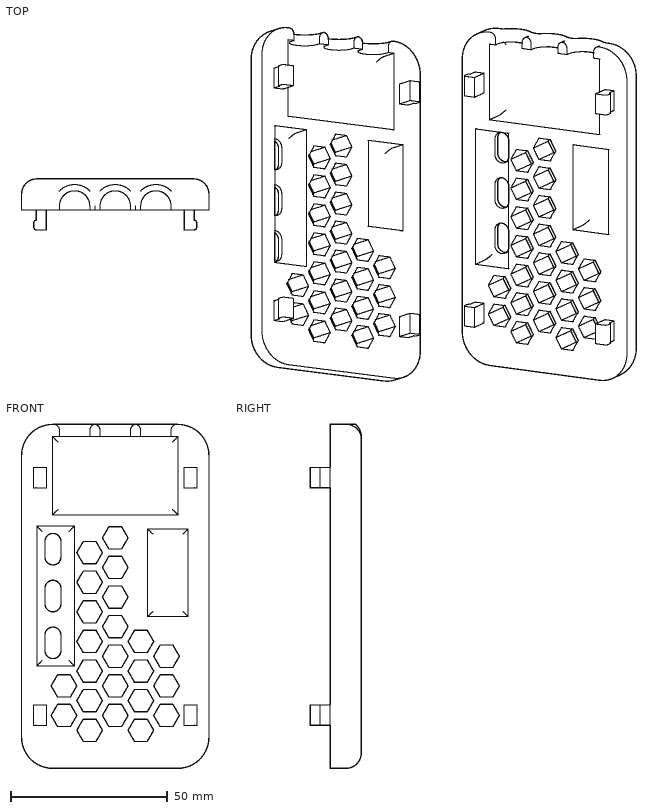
import cadquery as cq
import math

width = 60.0
length = 110.0
thickness = 10.0
corner_radius = 10.0
back_round = 5.0
top = length / 2

notch_pitch = 13.0
notch_radius = 4.8
notch_axis_depth = 1.3
rim_round = 2.0
rim_radius = notch_radius + rim_round
notch_centers = [-notch_pitch, 0.0, notch_pitch]

pocket_depth = 8.0
pocket_round = 2.0
top_wall = 2 * rim_round
screen_pocket = (-20.0, 20.0, top_wall, 28.9)
left_pocket = (-25.1, -13.1, 32.6, 77.2)
right_pocket = (10.3, 23.3, 33.4, 61.5)

slot_x = -19.9
slot_width = 5.1
slot_length = 10.0
slot_pitch = 15.0
slot_middle = (left_pocket[2] + left_pocket[3]) / 2

hex_across_flats = 7.0
hex_pitch = 9.5
hex_column_pitch = hex_pitch * math.cos(math.radians(30))
hex_even_bottom = 93.1
hex_odd_bottom = hex_even_bottom + hex_pitch / 2
hex_columns = [
    (-2, hex_even_bottom, 2),
    (-1, hex_odd_bottom, 7),
    (0, hex_even_bottom, 7),
    (1, hex_odd_bottom, 4),
    (2, hex_even_bottom, 3),
]

tab_inner_x = 22.0
tab_stem = 3.3
tab_lip = 0.8
tab_lip_round = 1.0
tab_height = 6.4
tab_lip_start = 3.2
tab_width = 6.5
tab_depths = [17.0, 93.0]


def front_plane():
    """Sketch plane on the flat face, facing -Y, with local x = X and local y = Z."""
    return cq.Workplane("XZ")


def make_plate():
    plate = front_plane().rect(width, length).extrude(-thickness)
    plate = plate.edges("|Y").fillet(corner_radius)
    return plate.faces(">Y").edges().fillet(back_round)


def brow_section(offset):
    """YZ section of the brow: a back round that starts on the notch rim instead of the top face."""
    start = notch_axis_depth + math.sqrt(rim_radius**2 - offset**2)
    center_y = thickness - back_round
    drop = math.sqrt(back_round**2 - (start - center_y) ** 2)
    center_z = top - drop
    start_angle = math.atan2(drop, start - center_y)
    middle = (
        center_y + back_round * math.cos(start_angle / 2),
        center_z + back_round * math.sin(start_angle / 2),
    )
    base_y = notch_axis_depth
    base_z = top - 2 * back_round
    return (
        cq.Workplane("YZ", origin=(offset, 0, 0))
        .moveTo(base_y, base_z)
        .lineTo(base_y, top)
        .lineTo(start, top)
        .threePointArc(middle, (thickness, center_z))
        .lineTo(thickness, base_z)
        .close()
        .wires()
        .val()
    )


def make_brow():
    """Raised back edge over one notch, ending where the rim meets the plain back round."""
    rise = thickness - back_round - notch_axis_depth
    reach = math.sqrt(rim_radius**2 - rise**2)
    half_steps = 5
    sections = [brow_section(reach * i / half_steps) for i in range(-half_steps, half_steps + 1)]
    return cq.Workplane(cq.Solid.makeLoft(sections))


def notch_half_profile():
    """Half width of a notch, flaring out to the top face along the rounded rim."""
    bore_bottom = top - top_wall
    diagonal = rim_round * math.sqrt(0.5)
    return (
        front_plane()
        .moveTo(0, bore_bottom)
        .lineTo(notch_radius, bore_bottom)
        .lineTo(notch_radius, top - rim_round)
        .threePointArc((rim_radius - diagonal, top - rim_round + diagonal), (rim_radius, top))
        .lineTo(rim_radius, top + rim_round)
        .lineTo(0, top + rim_round)
        .close()
    )


def make_notch_cutter():
    """Arched notch along Z through the top edge."""
    arch = notch_half_profile().revolve(360, (0, 0, 0), (0, 1, 0)).translate((0, notch_axis_depth, 0))
    behind_face = cq.Workplane("XY").box(width, thickness, 2 * length, centered=(True, False, True))
    side = notch_half_profile().extrude(-notch_axis_depth)
    return arch.intersect(behind_face).union(side).union(side.mirror("YZ"))


def make_pocket(left, right, upper, lower):
    pocket = (
        front_plane()
        .center((left + right) / 2, top - (upper + lower) / 2)
        .rect(right - left, lower - upper)
        .extrude(-pocket_depth)
    )
    return pocket.faces(">Y").edges().fillet(pocket_round)


def make_slots():
    centers = [(slot_x, top - slot_middle + i * slot_pitch) for i in (-1, 0, 1)]
    return front_plane().pushPoints(centers).slot2D(slot_length, slot_width, 90).extrude(-thickness)


def make_honeycomb():
    centers = [
        (column * hex_column_pitch, top - lowest + row * hex_pitch)
        for column, lowest, count in hex_columns
        for row in range(count)
    ]
    across_corners = hex_across_flats / math.cos(math.radians(30))
    return front_plane().pushPoints(centers).polygon(6, across_corners).extrude(-thickness)


def make_tab(depth_below_top):
    """Tab on the +X side; its lip is rounded at both ends."""
    stem_x = tab_inner_x + tab_stem
    lip_x = stem_x + tab_lip
    round_center_x = lip_x - tab_lip_round
    round_angle = math.acos((stem_x - round_center_x) / tab_lip_round)
    round_height = tab_lip_round * math.sin(round_angle)
    middle_x = round_center_x + tab_lip_round * math.cos(round_angle / 2)
    middle_height = tab_lip_round * math.sin(round_angle / 2)
    lip_upper_y = -tab_lip_start - round_height
    lip_lower_y = round_height - tab_height
    return (
        cq.Workplane("XY", origin=(0, 0, top - depth_below_top - tab_width / 2))
        .moveTo(tab_inner_x, 0)
        .lineTo(stem_x, 0)
        .lineTo(stem_x, -tab_lip_start)
        .threePointArc((middle_x, lip_upper_y + middle_height), (lip_x, lip_upper_y))
        .lineTo(lip_x, lip_lower_y)
        .threePointArc((middle_x, lip_lower_y - middle_height), (stem_x, -tab_height))
        .lineTo(tab_inner_x, -tab_height)
        .close()
        .extrude(tab_width)
    )


result = make_plate()

brow = make_brow()
for x in notch_centers:
    result = result.union(brow.translate((x, 0, 0)))

notch_cutter = make_notch_cutter()
for x in notch_centers:
    result = result.cut(notch_cutter.translate((x, 0, 0)))

for pocket_limits in (screen_pocket, left_pocket, right_pocket):
    result = result.cut(make_pocket(*pocket_limits))

result = result.cut(make_slots()).cut(make_honeycomb())

for depth in tab_depths:
    tab = make_tab(depth)
    result = result.union(tab).union(tab.mirror("YZ"))